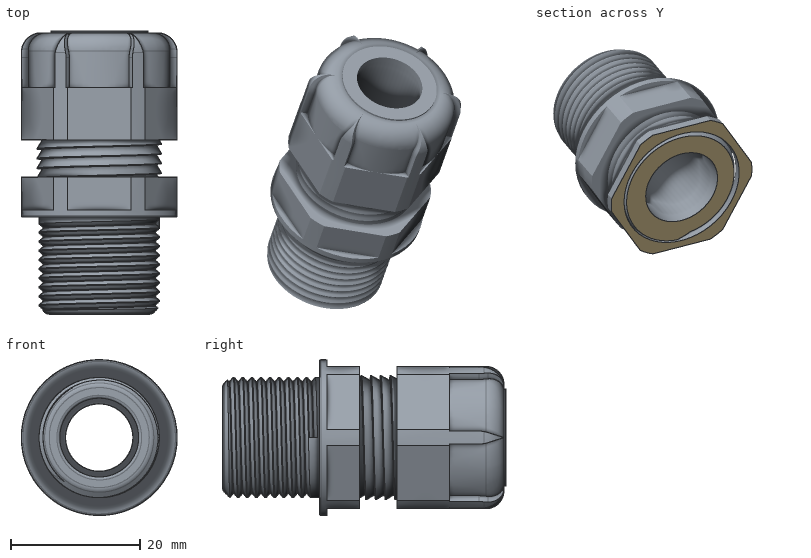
import cadquery as cq
import math


entry_length = 15.0
flange_top = 16.15
nut_top = 21.2
cap_bottom = 26.95
cap_flats_top = 35.05
cap_top = 43.5
total_length = 43.8

side_count = 6
across_flats = 22.0
corner_radius = 12.05
flange_fillet = 0.25

entry_radius = 9.3
entry_depth = 0.62
entry_pitch = 1.41
entry_land = 0.15
entry_groove_end = 14.05
entry_turns = 11
entry_chamfer = 1.15
entry_end_fillet = 1.0

clamp_radius = 9.59
clamp_depth = 0.78
clamp_pitch = 1.5
clamp_land = 0.1
clamp_steep_run = 0.06
clamp_turns = 8
clamp_lead_turns = 6
clamp_crest = 26.32

recess_radius = 9.8
recess_depth = clamp_pitch
recess_floor = cap_bottom + recess_depth

dome_radius = across_flats / 2
dome_fillet = 2.8
rib_count = side_count
rib_width = 2.0
rib_taper_start = 40.35
rib_taper_blend = 4.5
rib_fillet = 3.05

entry_bore_radius = 6.1
bore_edge_fillet = 0.45
seal_radius = 7.5
seal_bore_radius = 5.2
seal_bottom = recess_floor

groove_overshoot = 0.04
spare_turns = 2


def cylinder(radius, bottom, top):
    return cq.Workplane("XY").workplane(offset=bottom).circle(radius).extrude(top - bottom)


def turned_hexagon(bottom, top):
    corner_diameter = across_flats / math.cos(math.pi / side_count)
    base = cq.Workplane("XY").workplane(offset=bottom).polygon(side_count, corner_diameter)
    hexagon = base.extrude(top - bottom)
    return hexagon.intersect(cylinder(corner_radius, bottom, top))


def helical_groove(section, pitch, turns):
    """Sweep a (radius, height) section along a right-hand helix that starts at +X."""
    helices = []
    for radius, height in section:
        helices.append(cq.Wire.makeHelix(pitch, pitch * turns, radius, center=cq.Vector(0, 0, height)))
    faces = []
    for index, helix in enumerate(helices):
        faces.append(cq.Face.makeRuledSurface(helices[index - 1], helix))
    for rise in (0, pitch * turns):
        corners = [cq.Vector(radius, 0, height + rise) for radius, height in section]
        faces.append(cq.Face.makeFromWires(cq.Wire.makePolygon(corners, close=True)))
    groove = cq.Solid.makeSolid(cq.Shell.makeShell(faces))
    return cq.Workplane(obj=groove)


def threaded_rod(section, pitch, turns, radius):
    """Rod that contains the whole groove, with plain stretches beyond both of its ends."""
    bottom = section[0][1] - spare_turns * pitch
    top = section[0][1] + (turns + spare_turns) * pitch
    return cylinder(radius, bottom, top).cut(helical_groove(section, pitch, turns))


def entry_thread():
    root_radius = entry_radius - entry_depth
    cutter_radius = entry_radius + groove_overshoot
    center = entry_groove_end - entry_turns * entry_pitch
    half_root = entry_land / 2
    half_mouth = (entry_pitch - entry_land) / 2
    flank_run = (half_mouth - half_root) / entry_depth
    half_cutter = half_mouth + groove_overshoot * flank_run
    section = [
        (root_radius, center - half_root),
        (root_radius, center + half_root),
        (cutter_radius, center + half_cutter),
        (cutter_radius, center - half_cutter),
    ]
    rod = threaded_rod(section, entry_pitch, entry_turns, entry_radius)
    envelope = cylinder(corner_radius, 0, entry_length)
    envelope = envelope.faces("<Z").chamfer(entry_chamfer + corner_radius - entry_radius)
    envelope = envelope.faces("<Z").edges().fillet(entry_end_fillet)
    return rod.intersect(envelope)


def clamp_thread():
    root_radius = clamp_radius - clamp_depth
    cutter_radius = clamp_radius + groove_overshoot
    mouth_bottom = clamp_crest + clamp_land / 2 - clamp_lead_turns * clamp_pitch
    mouth_top = mouth_bottom + clamp_pitch - clamp_land
    root_height = mouth_top - clamp_steep_run
    steep_slope = clamp_steep_run / clamp_depth
    gentle_slope = (root_height - mouth_bottom) / clamp_depth
    section = [
        (root_radius, root_height),
        (cutter_radius, mouth_top + groove_overshoot * steep_slope),
        (cutter_radius, mouth_bottom - groove_overshoot * gentle_slope),
    ]
    rod = threaded_rod(section, clamp_pitch, clamp_turns, clamp_radius)
    return rod.intersect(cylinder(corner_radius, nut_top, recess_floor))


def flange():
    disc = cylinder(corner_radius, entry_length, flange_top)
    return disc.faces("<Z").edges().fillet(flange_fillet)


def cap_ribs():
    half_width = rib_width / 2
    outline = [
        (-half_width, cap_flats_top),
        (half_width, cap_flats_top),
        (half_width, rib_taper_start),
        (0, cap_top),
        (-half_width, rib_taper_start),
    ]
    rib = cq.Workplane("YZ").polyline(outline).close().extrude(corner_radius)
    taper_corners = cq.selectors.BoxSelector(
        (0, -rib_width, cap_flats_top + half_width),
        (corner_radius, rib_width, cap_top - half_width),
    )
    rib = rib.edges("|X").edges(taper_corners).fillet(rib_taper_blend)
    ribs = cq.Workplane("XY")
    for index in range(rib_count):
        ribs = ribs.union(rib.rotate((0, 0, 0), (0, 0, 1), index * 360 / rib_count))
    envelope = cylinder(corner_radius, cap_flats_top, cap_top).faces(">Z").edges().fillet(rib_fillet)
    return ribs.intersect(envelope)


def cap():
    dome = cylinder(dome_radius, cap_flats_top, cap_top).faces(">Z").edges().fillet(dome_fillet)
    seal = cylinder(seal_radius, cap_top, total_length)
    recess = cylinder(recess_radius, cap_bottom, recess_floor)
    hexagon = turned_hexagon(cap_bottom, cap_flats_top).cut(recess)
    return hexagon.union(dome).union(cap_ribs()).union(seal)


def entry_bore():
    mouth_radius = entry_bore_radius + bore_edge_fillet
    rounding_middle = bore_edge_fillet * (1 - math.sqrt(0.5))
    return (
        cq.Workplane("XZ")
        .moveTo(0, 0)
        .lineTo(mouth_radius, 0)
        .threePointArc(
            (entry_bore_radius + rounding_middle, rounding_middle),
            (entry_bore_radius, bore_edge_fillet),
        )
        .lineTo(entry_bore_radius, seal_bottom)
        .lineTo(0, seal_bottom)
        .close()
        .revolve(360, (0, 0), (0, 1))
    )


gland = (
    entry_thread()
    .union(flange())
    .union(turned_hexagon(flange_top, nut_top))
    .union(clamp_thread())
    .union(cap())
    .cut(entry_bore())
    .cut(cylinder(seal_bore_radius, seal_bottom, total_length))
)

result = gland.rotate((0, 0, 0), (1, 0, 0), -90)